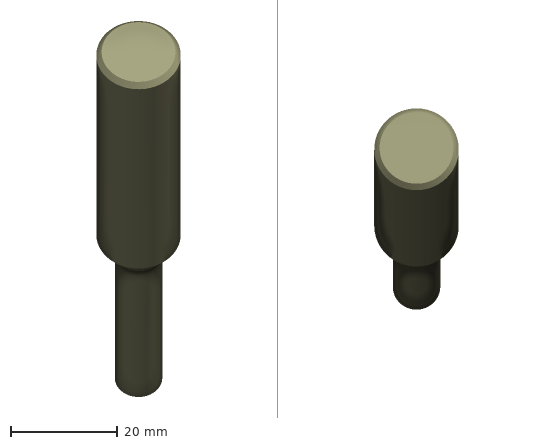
import cadquery as cq
import math

total_length = 104.2
shank_diameter = 16.0
pin_diameter = 9.0
shank_bottom = 45.9
taper_half_angle = 30.0
top_chamfer = 1.0
neck_radius = 2.5

shank_radius = shank_diameter / 2
pin_radius = pin_diameter / 2
taper_angle = math.radians(taper_half_angle)
taper_height = (shank_radius - pin_radius) / math.tan(taper_angle)
neck_corner = shank_bottom - taper_height

tangent_length = neck_radius * math.tan(taper_angle / 2)
arc_bottom = neck_corner - tangent_length
arc_center_x = pin_radius + neck_radius


def neck_point(angle):
    """Point on the neck arc, turned by angle from the pin tangent point."""
    return (
        arc_center_x - neck_radius * math.cos(angle),
        arc_bottom + neck_radius * math.sin(angle),
    )


profile = (
    cq.Workplane("XZ")
    .lineTo(pin_radius, 0)
    .lineTo(pin_radius, arc_bottom)
    .threePointArc(neck_point(taper_angle / 2), neck_point(taper_angle))
    .lineTo(shank_radius, shank_bottom)
    .lineTo(shank_radius, total_length - top_chamfer)
    .lineTo(shank_radius - top_chamfer, total_length)
    .lineTo(0, total_length)
    .close()
)

result = profile.revolve(360, (0, 0, 0), (0, 1, 0))